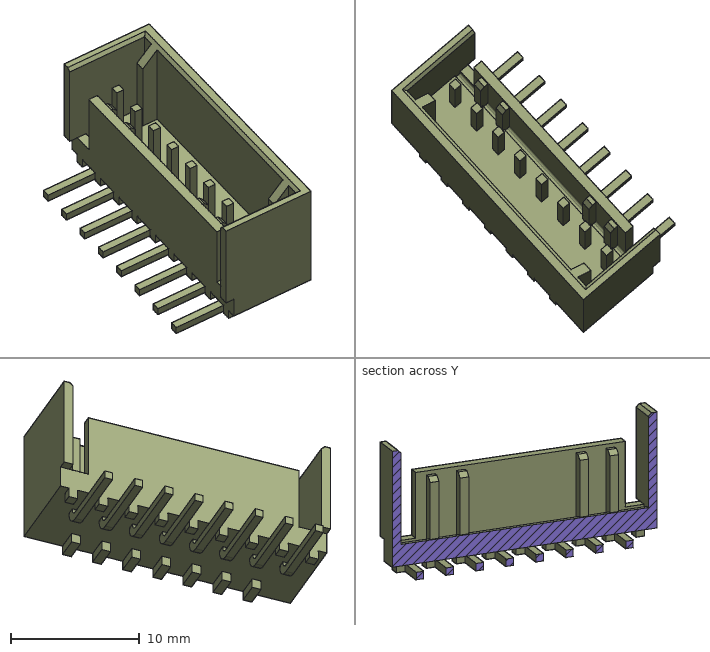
import cadquery as cq


pin_count = 8
pitch = 2.54
pin_size = 0.65
pin_back_y = -4.18
pin_top_z = 6.9
lead_bottom_z = -1.32
lead_end_y = -11.25
bend_inner_radius = 0.58

housing_width = 22.45
housing_height = 9.59
side_depth = 7.95
base_depth = 7.23
floor_z = 1.82
side_thickness = 0.76
back_thickness = 0.95
lip_chamfer = 0.27

front_thickness = 0.8
front_top_z = 7.23
front_width = (pin_count - 1) * pitch

groove_width = 0.55
groove_depth = 0.56
groove_radius = 0.2

key_width = 0.8
key_depth = 1.35
key_offset = 1.7

guide_width = 0.75
guide_depth = 0.75
guide_chamfer = 0.38
guide_top_z = pin_top_z
guide_gaps = (1, 2, 6, 7)

foot_width = 0.75
foot_height = 0.8
back_foot_depth = 1.82
front_foot_depth = 0.8

overlap = 0.22
inner_width = housing_width - 2 * side_thickness
front_inner_y = front_thickness - base_depth
foot_count = pin_count + 1


def row_x(index, count):
    """X position of one item in a centred row at the pin pitch."""
    return (index - (count - 1) / 2) * pitch


def block(x_mid, width, y_front, y_back, z_low, z_high):
    """Box centred on x_mid between the given Y and Z limits."""
    return cq.Workplane("XY").box(
        width, y_back - y_front, z_high - z_low, centered=(True, False, False)
    ).translate((x_mid, y_front, z_low))


def extrude_profile(profile, x_mid, width):
    """Extrude a closed YZ profile symmetrically about x_mid."""
    return profile.extrude(width / 2, both=True).translate((x_mid, 0, 0))


def make_shell():
    """Base, side walls and back wall with a chamfered inner lip."""
    base = block(0, housing_width, -base_depth, 0, 0, floor_z)
    walls = block(0, housing_width, -side_depth, 0, floor_z, housing_height)
    cavity = block(
        0, inner_width, -side_depth - overlap, -back_thickness, floor_z, housing_height
    )
    lip = (
        cq.Workplane("XY")
        .workplane(offset=housing_height - lip_chamfer)
        .center(0, -back_thickness - side_depth / 2)
        .rect(inner_width, side_depth)
        .workplane(offset=lip_chamfer)
        .rect(inner_width + 2 * lip_chamfer, side_depth + 2 * lip_chamfer)
        .loft()
    )
    walls = walls.cut(cavity).cut(lip)
    return base.union(walls)


def make_groove():
    """Floor groove with a rounded corner at the foot of its front side."""
    bottom_z = floor_z - groove_depth
    profile = (
        cq.Workplane("YZ")
        .moveTo(front_inner_y, floor_z)
        .lineTo(front_inner_y, bottom_z + groove_radius)
        .radiusArc((front_inner_y + groove_radius, bottom_z), -groove_radius)
        .lineTo(front_inner_y + groove_width, bottom_z)
        .lineTo(front_inner_y + groove_width, floor_z)
        .close()
    )
    return extrude_profile(profile, 0, inner_width)


def make_key_rib(x_mid):
    """Back-wall rib whose top slopes down at 45 degrees from the lip."""
    wall_y = -back_thickness
    tip_y = wall_y - key_depth
    high_z = housing_height - lip_chamfer
    profile = cq.Workplane("YZ").polyline([
        (wall_y + overlap, floor_z - overlap),
        (tip_y, floor_z - overlap),
        (tip_y, high_z - key_depth),
        (wall_y, high_z),
        (wall_y + overlap, high_z),
    ]).close()
    return extrude_profile(profile, x_mid, key_width)


def make_guide_rib(x_mid):
    """Front-wall rib with a 45 degree lead-in on its top inner edge."""
    tip_y = front_inner_y + guide_depth
    low_z = floor_z - groove_depth - overlap
    profile = cq.Workplane("YZ").polyline([
        (front_inner_y - overlap, low_z),
        (tip_y, low_z),
        (tip_y, guide_top_z - guide_chamfer),
        (tip_y - guide_chamfer, guide_top_z),
        (front_inner_y - overlap, guide_top_z),
    ]).close()
    return extrude_profile(profile, x_mid, guide_width)


def make_pin(x_mid):
    """Square pin rising through the floor and bent forward below it."""
    pin_front_y = pin_back_y - pin_size
    lead_top_z = lead_bottom_z + pin_size
    bend_outer_radius = bend_inner_radius + pin_size
    bend_y = pin_front_y - bend_inner_radius
    bend_z = lead_top_z + bend_inner_radius
    profile = (
        cq.Workplane("YZ")
        .moveTo(pin_back_y, pin_top_z)
        .lineTo(pin_back_y, bend_z)
        .radiusArc((bend_y, lead_bottom_z), bend_outer_radius)
        .lineTo(lead_end_y, lead_bottom_z)
        .lineTo(lead_end_y, lead_top_z)
        .lineTo(bend_y, lead_top_z)
        .radiusArc((pin_front_y, bend_z), -bend_inner_radius)
        .lineTo(pin_front_y, pin_top_z)
        .close()
    )
    return extrude_profile(profile, x_mid, pin_size)


result = make_shell().cut(make_groove())
result = result.union(block(0, front_width, -base_depth, front_inner_y, 0, front_top_z))

key_x = housing_width / 2 - key_offset - key_width / 2
for x in (-key_x, key_x):
    result = result.union(make_key_rib(x))

for gap in guide_gaps:
    result = result.union(make_guide_rib(row_x(gap, foot_count)))

for index in range(foot_count):
    x = row_x(index, foot_count)
    front_foot_y = front_foot_depth - base_depth
    result = result.union(block(x, foot_width, -base_depth, front_foot_y, -foot_height, overlap))
    if 0 < index < foot_count - 1:
        result = result.union(block(x, foot_width, -back_foot_depth, 0, -foot_height, overlap))

for index in range(pin_count):
    result = result.union(make_pin(row_x(index, pin_count)))